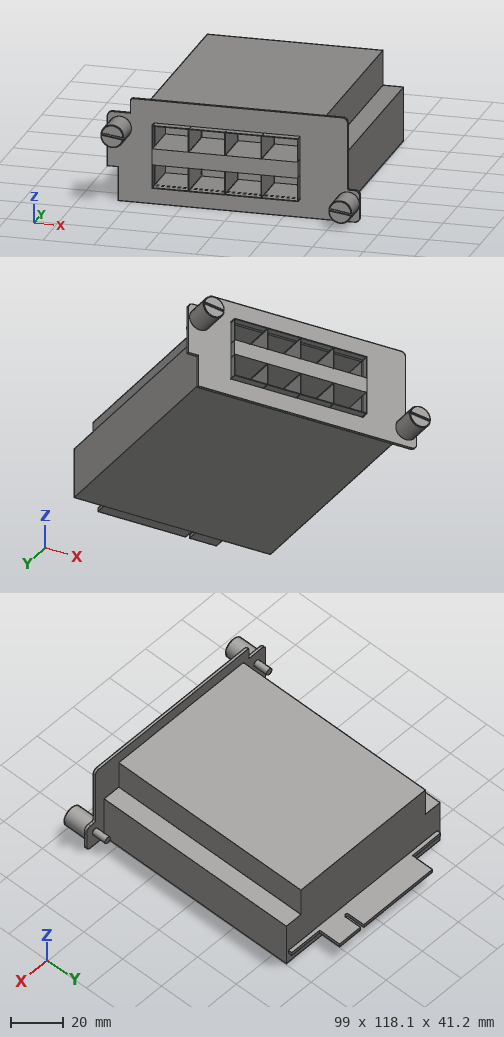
import cadquery as cq


plate_width = 99.0
plate_height = 41.2
plate_thickness = 1.2
plate_front = -plate_thickness
main_left = 4.3
main_right = 94.2
upper_left = 9.1
left_ear_bottom = 13.5
left_ear_top = 35.3
right_ear_top = 12.6
large_corner_radius = 2.0
small_corner_radius = 0.9

housing_length = 94.0
housing_left = main_left
housing_width = 85.1
housing_bottom = 0.4
housing_top = 35.7
housing_step_z = 21.8
housing_step_width = 8.1

socket_columns = 4
block_left = 18.35
block_bottom = 7.2
block_width = 57.3
block_height = 25.1
block_protrusion = 3.0
block_front = plate_front - block_protrusion
block_depth = 20.0
socket_depth = 18.0
side_wall = 0.2
divider_wall = 0.3
outer_wall = 0.3
middle_bar_bottom = 16.55
middle_bar_top = 22.95

board_thickness = 1.6
board_bottom = 5.5
board_left = 5.95
board_width = 82.3
strip_depth = 1.75
tab_left = 21.4
tab_width = 51.4
tab_end = 12.0
key_slot_center = 60.3
key_slot_width = 1.75
key_slot_depth = 8.6
key_slot_corner_radius = 0.8

overall_length = 118.14
head_diameter = 9.0
head_length = overall_length - housing_length - tab_end - plate_thickness
head_chamfer = 0.3
shank_diameter = 3.0
shank_length = 6.5
driver_slot_width = 0.9
driver_slot_depth = 0.8
driver_slot_angle = 8.0
screw_centers = [(5.0, 29.25), (94.4, 7.35)]


def box(left, front, bottom, width, depth, height):
    """Box placed by its left, front, bottom corner."""
    return cq.Workplane("XY").box(width, depth, height, centered=False).translate((left, front, bottom))


def cylinder_along_y(diameter, center, y_start, y_end):
    """Cylinder on the (x, z) center, running between two Y positions."""
    x, z = center
    return cq.Workplane("XZ", origin=(x, y_start, z)).circle(diameter / 2).extrude(y_start - y_end)


def round_plate_corner(plate, corner, radius):
    """Round the plate edge that runs along Y through the (x, z) corner."""
    x, z = corner
    nearest = cq.selectors.NearestToPointSelector((x, plate_front / 2, z))
    return plate.edges("|Y").edges(nearest).fillet(radius)


def make_plate():
    outline = [
        (main_left, 0),
        (plate_width, 0),
        (plate_width, right_ear_top),
        (main_right, right_ear_top),
        (main_right, plate_height),
        (upper_left, plate_height),
        (upper_left, left_ear_top),
        (0, left_ear_top),
        (0, left_ear_bottom),
        (main_left, left_ear_bottom),
    ]
    plate = cq.Workplane("XZ").polyline(outline).close().extrude(plate_thickness)
    for corner in [
        (plate_width, 0),
        (plate_width, right_ear_top),
        (main_right, plate_height),
        (0, left_ear_top),
    ]:
        plate = round_plate_corner(plate, corner, large_corner_radius)
    for corner in [(upper_left, plate_height), (main_right, right_ear_top)]:
        plate = round_plate_corner(plate, corner, small_corner_radius)
    for center in screw_centers:
        plate = plate.cut(cylinder_along_y(shank_diameter, center, plate_front, 0))
    return plate.cut(make_block_envelope())


def make_housing():
    upper_part_left = housing_left + housing_step_width
    upper_width = housing_width - 2 * housing_step_width
    lower_height = housing_step_z - housing_bottom
    upper_height = housing_top - housing_step_z
    lower = box(housing_left, 0, housing_bottom, housing_width, housing_length, lower_height)
    upper = box(upper_part_left, 0, housing_step_z, upper_width, housing_length, upper_height)
    return lower.union(upper).cut(make_block_envelope())


def make_block_envelope():
    return box(block_left, block_front, block_bottom, block_width, block_depth, block_height)


def make_socket_block():
    block = make_block_envelope()
    inner_width = block_width - 2 * side_wall
    socket_width = (inner_width - (socket_columns - 1) * divider_wall) / socket_columns
    block_top = block_bottom + block_height
    rows = [
        (block_bottom + outer_wall, middle_bar_bottom),
        (middle_bar_top, block_top - outer_wall),
    ]
    for column in range(socket_columns):
        left = block_left + side_wall + column * (socket_width + divider_wall)
        for bottom, top in rows:
            socket = box(left, block_front, bottom, socket_width, socket_depth, top - bottom)
            block = block.cut(socket)
    return block


def make_board():
    strip = box(board_left, housing_length, board_bottom, board_width, strip_depth, board_thickness)
    tab = box(tab_left, housing_length, board_bottom, tab_width, tab_end, board_thickness)
    slot_end_y = housing_length + tab_end - key_slot_depth
    slot_left = key_slot_center - key_slot_width / 2
    slot = box(slot_left, slot_end_y, board_bottom, key_slot_width, key_slot_depth, board_thickness)
    slot = slot.edges("|Z and <Y").fillet(key_slot_corner_radius)
    return strip.union(tab).cut(slot)


def make_screw(center):
    x, z = center
    axis = (0, 0)
    head_end = plate_front - head_length
    head = cylinder_along_y(head_diameter, axis, head_end, plate_front)
    head = head.faces("<Y").chamfer(head_chamfer)
    shank = cylinder_along_y(shank_diameter, axis, plate_front, shank_length)
    slot_left = -head_diameter / 2
    slot_bottom = -driver_slot_width / 2
    slot = box(slot_left, head_end, slot_bottom, head_diameter, driver_slot_depth, driver_slot_width)
    screw = head.union(shank).cut(slot)
    return screw.rotate((0, 0, 0), (0, 1, 0), driver_slot_angle).translate((x, 0, z))


plate = make_plate()
housing = make_housing()
socket_block = make_socket_block()
board = make_board()
screws = [make_screw(center) for center in screw_centers]

result = cq.Compound.makeCompound(
    [
        plate.val(),
        housing.val(),
        socket_block.val(),
        board.val(),
        *[screw.val() for screw in screws],
    ]
)